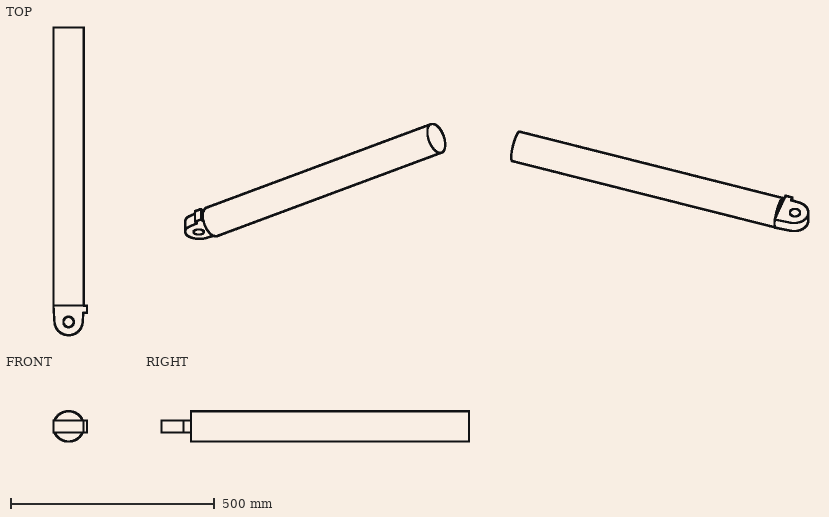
import cadquery as cq
import math

rod_diameter = 75.0
rod_length = 682.0
rod_radius = rod_diameter / 2

overall_length = 754.75
lug_thickness = 30.0
lug_end_radius = 35.0
lug_length = overall_length - rod_length
end_arc_y = -(lug_length - lug_end_radius)

pin_hole_diameter = 25.0
pin_hole_y = -40.0

overall_width = 83.13
tab_height = 18.0
tab_reach = overall_width - rod_radius


def make_rod():
    return cq.Workplane("XZ").circle(rod_radius).extrude(-rod_length)


def plate(profile):
    """Extrude a closed XY profile to the lug thickness, centred on Z = 0."""
    return profile.extrude(lug_thickness / 2, both=True)


def make_lug():
    """Plate tapering from the rod width into a rounded end, with tangent sides."""
    corner_distance = math.hypot(rod_radius, end_arc_y)
    corner_angle = math.atan2(-end_arc_y, rod_radius)
    tangent_angle = corner_angle - math.acos(lug_end_radius / corner_distance)
    tangent_x = lug_end_radius * math.cos(tangent_angle)
    tangent_y = end_arc_y + lug_end_radius * math.sin(tangent_angle)
    profile = (
        cq.Workplane("XY")
        .moveTo(-rod_radius, 0)
        .lineTo(-tangent_x, tangent_y)
        .threePointArc((0, -lug_length), (tangent_x, tangent_y))
        .lineTo(rod_radius, 0)
        .close()
    )
    return plate(profile)


def make_tab():
    profile = cq.Workplane("XY").rect(tab_reach, -tab_height, centered=False)
    return plate(profile)


def make_pin_hole():
    return plate(cq.Workplane("XY").center(0, pin_hole_y).circle(pin_hole_diameter / 2))


result = make_rod().union(make_lug()).union(make_tab()).cut(make_pin_hole())